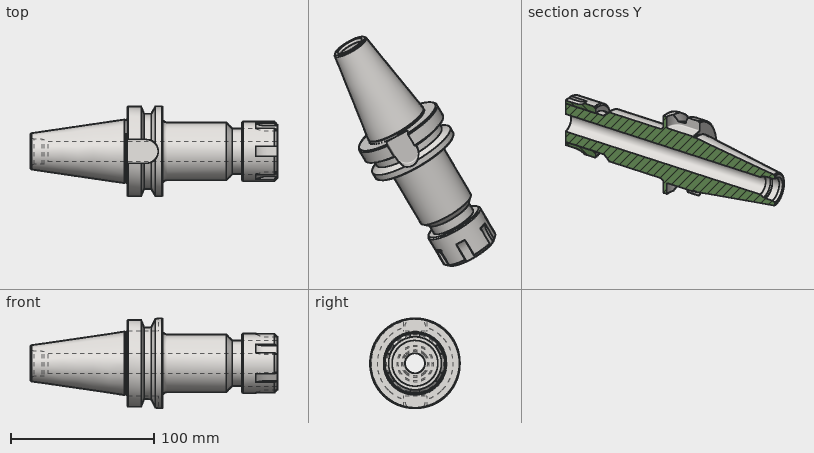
import cadquery as cq
import math

total_length = 172.6

taper_length = 65.4
taper_small_radius = 12.8
taper_large_radius = 22.3
taper_tip_chamfer = 0.9
taper_relief_length = 0.5
taper_relief_radius = 44.0 / 2
taper_relief_fillet = 0.7

flange_radius = 63.0 / 2
flange_front = 67.5
flange_back = 92.3
flange_front_chamfer = 0.9
flange_back_chamfer = 0.5
groove_front = 77.3
groove_back = 87.3
groove_floor_radius = 26.4
groove_front_run = 2.0
groove_back_run = 3.0

drive_slot_width = 16.5
drive_slot_end = 89.2
drive_slot_floor = 22.6
drive_slot_fillet = 0.7

body_radius = 40.5 / 2
body_fillet_height = 1.7
body_fillet_radius = 3.6
body_end = 136.7
neck_radius = 32.0 / 2
neck_cone_length = body_radius - neck_radius

bore_mouth_radius = 19.3 / 2
bore_mouth_length = 2.2
bore_entry_radius = 17.6 / 2
bore_step_radius = 17.1 / 2
bore_radius = 13.8 / 2
bore_cone_angle = 30.0
bore_entry_end = 7.8
bore_step_length = 1.5

nut_radius = 42.0 / 2
nut_back = 147.5
nut_back_chamfer = 1.0
nut_front_chamfer_length = 2.5
nut_face_radius = 18.5
wrench_slot_count = 6
wrench_slot_width = 6.9
wrench_slot_floor = 18.5
wrench_slot_arc_top = 20.5
wrench_slot_start = 157.4
wrench_slot_flat_start = 164.8


def revolve_about_x(profile):
    """Turn a closed (X, radius) profile a full turn about the X axis."""
    return profile.close().revolve(360, (0, 0, 0), (1, 0, 0))


def make_turned_holder():
    """Outer shape of the holder: taper, grooved flange, body and neck."""
    fillet_top = body_radius + body_fillet_height
    fillet_center_drop = body_fillet_radius - body_fillet_height
    fillet_length = math.sqrt(body_fillet_radius**2 - fillet_center_drop**2)
    fillet_end = flange_back + fillet_length
    fillet_mid_angle = math.asin(fillet_length / body_fillet_radius) / 2
    fillet_mid = (
        fillet_end - body_fillet_radius * math.sin(fillet_mid_angle),
        body_radius + body_fillet_radius * (1 - math.cos(fillet_mid_angle)),
    )
    profile = (
        cq.Workplane("XY")
        .moveTo(0, 0)
        .lineTo(0, taper_small_radius - taper_tip_chamfer)
        .lineTo(taper_tip_chamfer, taper_small_radius)
        .lineTo(taper_length, taper_large_radius)
        .lineTo(taper_length + taper_relief_length, taper_relief_radius)
        .lineTo(flange_front - taper_relief_fillet, taper_relief_radius)
        .radiusArc((flange_front, taper_relief_radius + taper_relief_fillet), -taper_relief_fillet)
        .lineTo(flange_front, flange_radius - flange_front_chamfer)
        .lineTo(flange_front + flange_front_chamfer, flange_radius)
        .lineTo(groove_front, flange_radius)
        .lineTo(groove_front + groove_front_run, groove_floor_radius)
        .lineTo(groove_back - groove_back_run, groove_floor_radius)
        .lineTo(groove_back, flange_radius)
        .lineTo(flange_back - flange_back_chamfer, flange_radius)
        .lineTo(flange_back, flange_radius - flange_back_chamfer)
        .lineTo(flange_back, fillet_top)
        .threePointArc(fillet_mid, (fillet_end, body_radius))
        .lineTo(body_end, body_radius)
        .lineTo(body_end + neck_cone_length, neck_radius)
        .lineTo(total_length, neck_radius)
        .lineTo(total_length, 0)
    )
    return revolve_about_x(profile)


def make_bore():
    """Through bore with a conical mouth, an entry, a short step and a cone."""
    cone_slope = math.tan(math.radians(bore_cone_angle))
    step_end = bore_entry_end + bore_step_length
    cone_end = step_end + (bore_step_radius - bore_radius) / cone_slope
    profile = (
        cq.Workplane("XY")
        .moveTo(0, 0)
        .lineTo(0, bore_mouth_radius)
        .lineTo(bore_mouth_length, bore_entry_radius)
        .lineTo(bore_entry_end, bore_entry_radius)
        .lineTo(bore_entry_end, bore_step_radius)
        .lineTo(step_end, bore_step_radius)
        .lineTo(cone_end, bore_radius)
        .lineTo(total_length, bore_radius)
        .lineTo(total_length, 0)
    )
    return revolve_about_x(profile)


def make_drive_slot():
    """Round-ended slot cutter on the +Z side, open toward the taper, with a filleted floor."""
    end_radius = drive_slot_width / 2
    round_center = drive_slot_end - end_radius
    return (
        cq.Workplane("XY", origin=(0, 0, drive_slot_floor))
        .moveTo(taper_length, -end_radius)
        .lineTo(round_center, -end_radius)
        .threePointArc((drive_slot_end, 0), (round_center, end_radius))
        .lineTo(taper_length, end_radius)
        .close()
        .extrude(flange_radius)
        .faces("<Z")
        .edges("not <X")
        .fillet(drive_slot_fillet)
    )


def make_holder():
    """Bored holder with two opposite drive slots in its flange."""
    holder = make_turned_holder().cut(make_bore())
    for angle in (0, 180):
        holder = holder.cut(make_drive_slot().rotate((0, 0, 0), (1, 0, 0), angle))
    return holder


def make_wrench_slot():
    """Wrench slot cutter on the +Z side: an arc runs down to a flat floor."""
    run = wrench_slot_flat_start - wrench_slot_start
    depth = wrench_slot_arc_top - wrench_slot_floor
    arc_radius = (run**2 + depth**2) / (2 * depth)
    mid_angle = math.asin(run / arc_radius) / 2
    arc_mid = (
        wrench_slot_flat_start - arc_radius * math.sin(mid_angle),
        wrench_slot_floor + arc_radius * (1 - math.cos(mid_angle)),
    )
    return (
        cq.Workplane("XZ")
        .moveTo(wrench_slot_start, nut_radius)
        .lineTo(wrench_slot_start, wrench_slot_arc_top)
        .threePointArc(arc_mid, (wrench_slot_flat_start, wrench_slot_floor))
        .lineTo(total_length, wrench_slot_floor)
        .lineTo(total_length, nut_radius)
        .close()
        .extrude(wrench_slot_width / 2, both=True)
    )


def make_nut():
    """Chamfered ring around the neck, with wrench slots in its front edge."""
    profile = (
        cq.Workplane("XY")
        .moveTo(nut_back, neck_radius)
        .lineTo(nut_back, nut_radius - nut_back_chamfer)
        .lineTo(nut_back + nut_back_chamfer, nut_radius)
        .lineTo(total_length - nut_front_chamfer_length, nut_radius)
        .lineTo(total_length, nut_face_radius)
        .lineTo(total_length, neck_radius)
    )
    nut = revolve_about_x(profile)
    for index in range(wrench_slot_count):
        angle = index * 360 / wrench_slot_count
        nut = nut.cut(make_wrench_slot().rotate((0, 0, 0), (1, 0, 0), angle))
    return nut


holder = make_holder()
nut = make_nut()
result = cq.Compound.makeCompound([holder.val(), nut.val()])